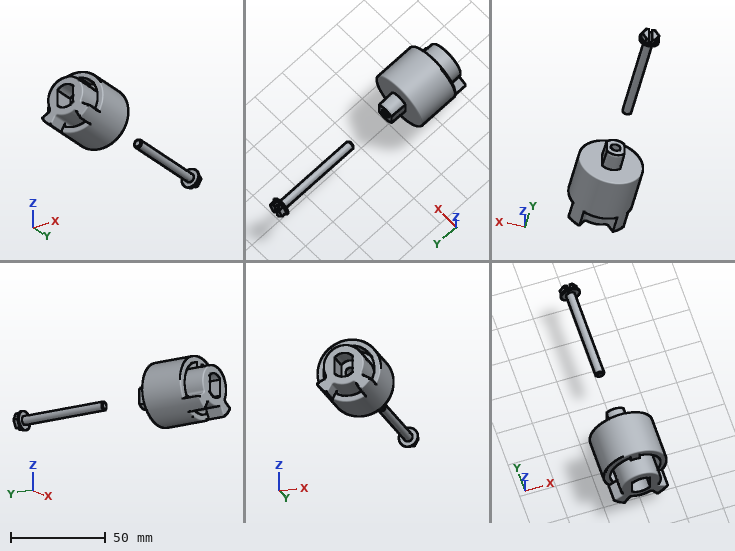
import cadquery as cq
import math

lug_length = 9.9
barrel_length = 25.0
tang_length = 10.1
barrel_front = lug_length
barrel_back = barrel_front + barrel_length
tang_end = barrel_back + tang_length
screw_head_end = 124.9

barrel_radius = 17.5
hub_radius = 11.1
edge_fillet = 0.7
lug_middle_angles = (225.0, 315.0)
lug_half_angle = 15.0
lug_side_inset = 0.4
groove_outer_radius = 14.0
groove_depth = 10.0
groove_end_radius = (groove_outer_radius - hub_radius) / 2
rib_width = 5.0
socket_diameter = 13.2
socket_width = 9.9
socket_depth = 12.5
tang_diameter = 13.0
tang_base_width = 9.9
tang_tip_width = 9.4
tang_tip_length = 1.5
tang_tip_inset = 0.4
screw_hole_diameter = 5.1

screw_length = 55.0
screw_diameter = 4.9
screw_tip_chamfer = 0.6
head_height = 4.0
flange_diameter = 10.5
flange_thickness = 0.9
hex_across_flats = 8.0
slot_width = 1.7
slot_depth = 1.9


def section_at(y):
    """Sketch plane across the axis: local x is X, local y is Z, negative extrusion runs to +Y."""
    return cq.Workplane("XZ", origin=(0, y, 0))


def cylinder(radius, start, length):
    return section_at(start).circle(radius).extrude(-length)


def double_flat_bar(diameter, width, start, length):
    """Round bar with two flats facing -X and +X."""
    flats = section_at(start).rect(width, 2 * diameter).extrude(-length)
    return cylinder(diameter / 2, start, length).intersect(flats)


def lug_wedge(middle_angle, start, length):
    """Wedge whose sides are parallel to radial lines, set inward from them."""
    apex = lug_side_inset / math.sin(math.radians(lug_half_angle))
    reach = 2 * barrel_radius
    half_width = (reach - apex) * math.tan(math.radians(lug_half_angle))
    outline = [(apex, 0), (reach, half_width), (reach, -half_width)]
    wedge = section_at(start).polyline(outline).close().extrude(-length)
    return wedge.rotate((0, 0, 0), (0, -1, 0), middle_angle)


def corner_edges(body, radius, below_axis_only=False):
    """Edges parallel to the axis at a given radius, optionally only those below the axis."""
    tolerance = 0.01
    found = []
    for edge in body.edges("|Y").vals():
        middle = edge.Center()
        on_radius = abs(math.hypot(middle.x, middle.z) - radius) < tolerance
        if on_radius and (middle.z < 0 or not below_axis_only):
            found.append(edge)
    return body.newObject(found)


def make_hub_with_lugs():
    length = lug_length + groove_depth
    hub = cylinder(hub_radius, 0, length)
    for angle in lug_middle_angles:
        wedge = lug_wedge(angle, 0, length)
        hub = hub.union(wedge.intersect(cylinder(barrel_radius, 0, length)))
    hub = corner_edges(hub, hub_radius).fillet(groove_end_radius)
    return hub.faces("<Y").fillet(edge_fillet)


def make_grooves():
    """Ring groove around the hub, interrupted by the lugs and the top rib."""
    ring = cylinder(groove_outer_radius, barrel_front, groove_depth)
    ring = ring.cut(cylinder(hub_radius, barrel_front, groove_depth))
    for angle in lug_middle_angles:
        ring = ring.cut(lug_wedge(angle, barrel_front, groove_depth))
    rib = (
        section_at(barrel_front)
        .center(0, barrel_radius / 2)
        .rect(rib_width, barrel_radius)
        .extrude(-groove_depth)
    )
    ring = ring.cut(rib)
    return corner_edges(ring, groove_outer_radius, below_axis_only=True).fillet(groove_end_radius)


def make_tang():
    """Round bar with a slim conical tip, cut by two flats that lean inward toward the tip."""
    radius = tang_diameter / 2
    tip_radius = radius - tang_tip_inset
    cone_start = tang_end - tang_tip_length
    half_outline = [
        (0, barrel_back),
        (radius, barrel_back),
        (radius, cone_start),
        (tip_radius, tang_end),
        (0, tang_end),
    ]
    bar = cq.Workplane("XY").polyline(half_outline).close().revolve(360, (0, 0, 0), (0, 1, 0))
    flats_outline = [
        (-tang_base_width / 2, barrel_back),
        (tang_base_width / 2, barrel_back),
        (tang_tip_width / 2, tang_end),
        (-tang_tip_width / 2, tang_end),
    ]
    flats = cq.Workplane("XY").polyline(flats_outline).close().extrude(tang_diameter, both=True)
    return bar.intersect(flats)


def make_coupler():
    barrel = cylinder(barrel_radius, barrel_front, barrel_length)
    barrel = barrel.faces("<Y or >Y").edges().fillet(edge_fillet)
    coupler = barrel.cut(make_grooves()).union(make_hub_with_lugs()).union(make_tang())
    coupler = coupler.cut(double_flat_bar(socket_diameter, socket_width, 0, socket_depth))
    return coupler.cut(cylinder(screw_hole_diameter / 2, 0, tang_end))


def make_screw():
    flange_front = screw_head_end - head_height
    shank_length = screw_length - head_height
    shank = cylinder(screw_diameter / 2, flange_front - shank_length, shank_length)
    shank = shank.faces("<Y").chamfer(screw_tip_chamfer)
    flange = cylinder(flange_diameter / 2, flange_front, flange_thickness)
    hex_across_corners = hex_across_flats / math.cos(math.radians(30))
    hex_head = section_at(flange_front).polygon(6, hex_across_corners).extrude(-head_height)
    slot = (
        section_at(screw_head_end - slot_depth)
        .rect(slot_width, flange_diameter)
        .extrude(-slot_depth)
    )
    return shank.union(flange).union(hex_head.cut(slot))


coupler = make_coupler()
screw = make_screw()
result = cq.Compound.makeCompound([coupler.val(), screw.val()])